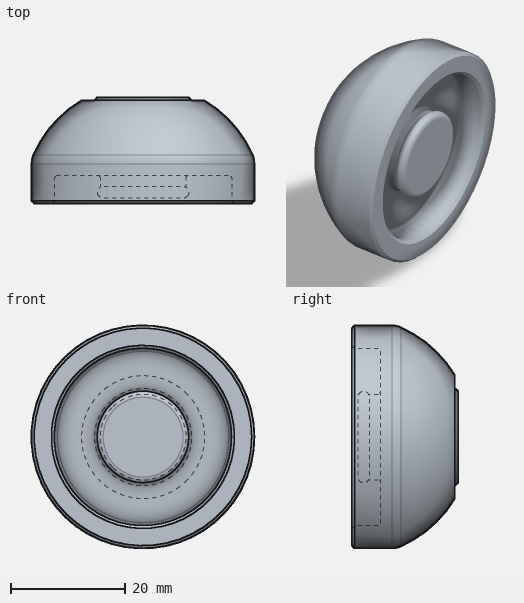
import cadquery as cq
import math


outer_radius = 19.5
overall_depth = 18.6
edge_size = 0.5
dome_radius = 21.0
shoulder_radius = 3.9
dome_depth = 18.0
hub_radius = 8.5
hub_height = overall_depth - dome_depth

pocket_radius = 15.5
pocket_depth = 5.0
neck_radius = 7.5

cap_radius = 8.0
cap_front = 1.0
cap_edge_radius = 1.0
cap_back = cap_front + 2 * cap_edge_radius

FRONT = -overall_depth / 2


def revolve_about_y(profile):
    """Revolve a closed (radius, depth) profile and centre the part along Y."""
    return profile.revolve(360, (0, 0, 0), (0, 1, 0)).translate((0, FRONT, 0))


def dome_point(radius):
    """Point of the dome's sphere at the given radius."""
    return (radius, math.sqrt(dome_radius**2 - radius**2))


def make_housing_blank():
    """Chamfered rim, rounded shoulder and truncated dome."""
    dome_flat_radius = math.sqrt(dome_radius**2 - dome_depth**2)
    shoulder_centre = outer_radius - shoulder_radius
    shoulder_start = math.sqrt((dome_radius - shoulder_radius)**2 - shoulder_centre**2)
    shoulder_angle = math.atan2(shoulder_start, shoulder_centre)

    def shoulder_point(angle):
        return (
            shoulder_centre + shoulder_radius * math.cos(angle),
            shoulder_start + shoulder_radius * math.sin(angle),
        )

    shoulder_end = shoulder_point(shoulder_angle)
    dome_middle = dome_point((shoulder_end[0] + dome_flat_radius) / 2)
    profile = (
        cq.Workplane("XY")
        .lineTo(outer_radius - edge_size, 0)
        .lineTo(outer_radius, edge_size)
        .lineTo(outer_radius, shoulder_start)
        .threePointArc(shoulder_point(shoulder_angle / 2), shoulder_end)
        .threePointArc(dome_middle, (dome_flat_radius, dome_depth))
        .lineTo(0, dome_depth)
        .close()
    )
    return revolve_about_y(profile)


def make_hub():
    """Low chamfered disc on the flat of the dome."""
    profile = (
        cq.Workplane("XY")
        .moveTo(0, dome_depth)
        .lineTo(hub_radius, dome_depth)
        .lineTo(hub_radius - edge_size, dome_depth + hub_height)
        .lineTo(0, dome_depth + hub_height)
        .close()
    )
    return revolve_about_y(profile)


def make_pocket():
    """Ring-shaped cut with a chamfered mouth and filleted floor corners."""
    fillet_start = pocket_depth - edge_size
    profile = (
        cq.Workplane("XY")
        .lineTo(pocket_radius + edge_size, 0)
        .lineTo(pocket_radius, edge_size)
        .lineTo(pocket_radius, fillet_start)
        .radiusArc((pocket_radius - edge_size, pocket_depth), -edge_size)
        .lineTo(neck_radius + edge_size, pocket_depth)
        .radiusArc((neck_radius, fillet_start), -edge_size)
        .lineTo(neck_radius, cap_back)
        .lineTo(0, cap_back)
        .close()
    )
    return revolve_about_y(profile)


def make_housing():
    return make_housing_blank().union(make_hub()).cut(make_pocket())


def make_cap():
    """Disc with a fully rounded edge, resting on the end of the neck."""
    flat_radius = cap_radius - cap_edge_radius
    profile = (
        cq.Workplane("XY")
        .moveTo(0, cap_front)
        .lineTo(flat_radius, cap_front)
        .threePointArc((cap_radius, cap_front + cap_edge_radius), (flat_radius, cap_back))
        .lineTo(0, cap_back)
        .close()
    )
    return revolve_about_y(profile)


housing = make_housing()
cap = make_cap()

result = cq.Compound.makeCompound([housing.val(), cap.val()])